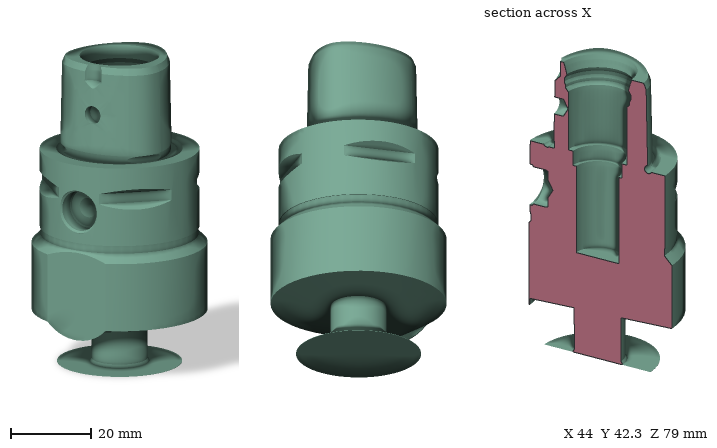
import cadquery as cq
import math

TOTAL_HEIGHT = 79.0
SHANK_CHAMFER_Z = 77.35
SHANK_BASE_Z = 56.6
FLANGE_Z = 55.1
GROOVE_TOP_Z = 35.0
GROOVE_BOTTOM_Z = 33.0
COLLAR_EDGE_Z = 30.9
COLLAR_BOTTOM_Z = 13.5

FLANGE_RADIUS = 40.0 / 2
GROOVE_RADIUS = 39.6 / 2
COLLAR_RADIUS = 44.0 / 2
COLLAR_DEPTH = 42.3
COLLAR_FLAT_Y = COLLAR_RADIUS - COLLAR_DEPTH
LIP_DROP = 3.6
LIP_THICKNESS = 0.3
NOSE_DROP = 1.9
NOSE_RADIUS = 0.4

PIN_RADIUS = 14.0 / 2
PIN_FLARE = 0.5
PIN_FLARE_HEIGHT = 0.9
PLATE_RADIUS = 15.65
PLATE_THICKNESS = 0.1

LOBE_COUNT = 3
POINTS_PER_SIDE = 9
LOBE_HEIGHT = 1.8 / 2
SHANK_BASE_RADIUS = 13.9
SHANK_TOP_RADIUS = 26.9 / 2
SHANK_BEVEL = 0.7
NECK_INSET = 0.2

RECESS_FLOOR_RADIUS = 14.3
GROOVE_RING_RADIUS = 14.9
GROOVE_RING_Z = 55.5
GROOVE_RING_SECTION = 1.0
RECESS_FLOOR_Z = GROOVE_RING_Z - math.sqrt(
    GROOVE_RING_SECTION**2 - (GROOVE_RING_RADIUS - RECESS_FLOOR_RADIUS) ** 2
)

BORE_STEPS = [
    (20.0 / 2, 0.0),
    (9.55, 1.2),
    (18.0 / 2, 3.15),
    (9.8, 4.4),
    (9.8, 5.4),
    (9.4, 6.2),
    (9.4, 6.95),
    (8.6, 7.8),
    (8.6, 23.7),
    (14.3 / 2, 23.7),
    (14.3 / 2, 27.65),
    (12.4 / 2, 27.65),
]
BORE_DEPTH = 51.35

TIP_SLOPE = math.tan(math.radians(31))
NOTCH_RADIUS = 2.8
NOTCH_Y = -13.75
NOTCH_DEPTH = 4.0
DIMPLE_RADIUS = 4.6 / 2
DIMPLE_Z = 66.4
DIMPLE_DEPTH = 2.85
CROSS_HOLE_Z = 43.0
CROSS_HOLE_RADIUS = 10.1 / 2
CROSS_HOLE_BEVEL = 0.5
CROSS_HOLE_DEPTH = 4.75
CROSS_STEP_RADIUS = 4.8
CROSS_STEP_DEPTH = 0.5
CROSS_TIP_RADIUS = 5.0 / 2

SLOT_COUNT = 4
FIRST_SLOT_ANGLE = 45
SLOT_FLAT_DISTANCE = 17.7
SLOT_BOTTOM_Z = 45.7
SLOT_TOP_Z = 48.3
SLOT_SLOPE = math.tan(math.radians(30))


def lobed_wire(radius, z):
    """Closed three-lobed outline of constant width, one lobe pointing along +Y."""
    span = math.pi / LOBE_COUNT

    def point(angle):
        turn = LOBE_COUNT * (angle - math.pi / 2)
        support = radius + LOBE_HEIGHT * math.cos(turn)
        slope = -LOBE_COUNT * LOBE_HEIGHT * math.sin(turn)
        x = support * math.cos(angle) - slope * math.sin(angle)
        y = support * math.sin(angle) + slope * math.cos(angle)
        return cq.Vector(x, y, z)

    edges = []
    for side in range(2 * LOBE_COUNT):
        angles = [span * (side + i / (POINTS_PER_SIDE - 1)) for i in range(POINTS_PER_SIDE)]
        edges.append(cq.Edge.makeSpline([point(angle) for angle in angles]))
    return cq.Wire.assembleEdges(edges)


def lobed_solid(radius_low, z_low, radius_high, z_high):
    wires = [lobed_wire(radius_low, z_low), lobed_wire(radius_high, z_high)]
    return cq.Workplane(cq.Solid.makeLoft(wires, True))


def turned(points):
    """Solid of revolution about Z from an outline of (radius, z) points."""
    return cq.Workplane("XZ").polyline(points).close().revolve(360, (0, 0), (0, 1))


def front_drilling(z, profile):
    """Cutter along Y at height z, from (radius, y) points that start and end on its axis."""
    cutter = cq.Workplane("XY").polyline(profile).close().revolve(360, (0, 0), (0, 1))
    return cutter.translate((0, 0, z))


def make_body():
    body = turned([
        (0, COLLAR_BOTTOM_Z),
        (COLLAR_RADIUS, COLLAR_BOTTOM_Z),
        (COLLAR_RADIUS, COLLAR_EDGE_Z),
        (GROOVE_RADIUS, GROOVE_BOTTOM_Z),
        (GROOVE_RADIUS, GROOVE_TOP_Z),
        (FLANGE_RADIUS, GROOVE_TOP_Z),
        (FLANGE_RADIUS, FLANGE_Z),
        (0, FLANGE_Z),
    ])
    rim = cq.Wire.makeCircle(COLLAR_RADIUS, cq.Vector(0, 0, COLLAR_BOTTOM_Z), cq.Vector(0, 0, 1))
    nose_centre = cq.Vector(0, COLLAR_FLAT_Y, COLLAR_BOTTOM_Z - NOSE_DROP)
    nose = cq.Wire.makeCircle(NOSE_RADIUS, nose_centre, cq.Vector(0, 0, 1))
    body = body.union(cq.Workplane(cq.Solid.makeLoft([nose, rim], True)))

    flat_half_width = math.sqrt(COLLAR_RADIUS**2 - COLLAR_FLAT_Y**2)
    lip = (
        cq.Workplane("XZ", origin=(0, COLLAR_FLAT_Y, 0))
        .moveTo(-flat_half_width, COLLAR_BOTTOM_Z)
        .threePointArc((0, COLLAR_BOTTOM_Z - LIP_DROP), (flat_half_width, COLLAR_BOTTOM_Z))
        .close()
        .extrude(LIP_THICKNESS, both=True)
    )
    flat_cutter = cq.Workplane("XY").box(
        2 * COLLAR_RADIUS, COLLAR_RADIUS, TOTAL_HEIGHT, centered=(True, False, False)
    )
    return body.union(lip).cut(flat_cutter.translate((0, COLLAR_FLAT_Y - COLLAR_RADIUS, 0)))


def make_pin():
    return turned([
        (0, 0),
        (PLATE_RADIUS, 0),
        (PLATE_RADIUS, PLATE_THICKNESS),
        (PIN_RADIUS + PIN_FLARE, PLATE_THICKNESS),
        (PIN_RADIUS, PIN_FLARE_HEIGHT),
        (PIN_RADIUS, COLLAR_BOTTOM_Z),
        (0, COLLAR_BOTTOM_Z),
    ])


def make_recess():
    floor = cq.Workplane("XY").workplane(offset=RECESS_FLOOR_Z)
    return floor.circle(RECESS_FLOOR_RADIUS).extrude(FLANGE_Z - RECESS_FLOOR_Z)


def make_groove_ring():
    return cq.Workplane(
        cq.Solid.makeTorus(GROOVE_RING_RADIUS, GROOVE_RING_SECTION, cq.Vector(0, 0, GROOVE_RING_Z))
    )


def make_shank():
    neck_radius = SHANK_BASE_RADIUS - NECK_INSET
    neck = lobed_solid(neck_radius, RECESS_FLOOR_Z, neck_radius, SHANK_BASE_Z)
    taper = lobed_solid(SHANK_BASE_RADIUS, SHANK_BASE_Z, SHANK_TOP_RADIUS, SHANK_CHAMFER_Z)
    bevel_radius = SHANK_TOP_RADIUS - SHANK_BEVEL
    bevel = lobed_solid(SHANK_TOP_RADIUS, SHANK_CHAMFER_Z, bevel_radius, TOTAL_HEIGHT)
    return neck.union(taper).union(bevel)


def make_bore():
    steps = [(radius, TOTAL_HEIGHT - depth) for radius, depth in BORE_STEPS]
    floor_z = TOTAL_HEIGHT - BORE_DEPTH
    return turned([(0, TOTAL_HEIGHT)] + steps + [(steps[-1][0], floor_z), (0, floor_z)])


def make_notch():
    floor_z = TOTAL_HEIGHT - NOTCH_DEPTH
    cutter = turned([
        (0, TOTAL_HEIGHT),
        (NOTCH_RADIUS, TOTAL_HEIGHT),
        (NOTCH_RADIUS, floor_z),
        (0, floor_z - NOTCH_RADIUS),
    ])
    return cutter.translate((0, NOTCH_Y, 0))


def make_dimple():
    mouth_y = -(SHANK_BASE_RADIUS + LOBE_HEIGHT)
    floor_y = LOBE_HEIGHT - SHANK_BASE_RADIUS + DIMPLE_DEPTH
    return front_drilling(DIMPLE_Z, [
        (0, mouth_y),
        (DIMPLE_RADIUS, mouth_y),
        (DIMPLE_RADIUS, floor_y),
        (0, floor_y + DIMPLE_RADIUS * TIP_SLOPE),
    ])


def make_cross_hole():
    mouth_y = -FLANGE_RADIUS
    floor_y = mouth_y + CROSS_HOLE_DEPTH
    step_y = floor_y + CROSS_STEP_DEPTH
    bevel_y = -math.sqrt(FLANGE_RADIUS**2 - CROSS_HOLE_RADIUS**2) + CROSS_HOLE_BEVEL
    mouth_radius = CROSS_HOLE_RADIUS + CROSS_HOLE_BEVEL
    return front_drilling(CROSS_HOLE_Z, [
        (0, mouth_y),
        (mouth_radius, mouth_y),
        (mouth_radius, bevel_y - CROSS_HOLE_BEVEL),
        (CROSS_HOLE_RADIUS, bevel_y),
        (CROSS_HOLE_RADIUS, floor_y),
        (CROSS_STEP_RADIUS, step_y),
        (CROSS_TIP_RADIUS, step_y),
        (0, step_y + CROSS_TIP_RADIUS * TIP_SLOPE),
    ])


def make_slot(angle):
    """Straight slot with a flat floor and sides that open outwards."""
    outer = COLLAR_RADIUS
    widening = (outer - SLOT_FLAT_DISTANCE) * SLOT_SLOPE
    slot = (
        cq.Workplane("XZ")
        .polyline([
            (SLOT_FLAT_DISTANCE, SLOT_BOTTOM_Z),
            (outer, SLOT_BOTTOM_Z - widening),
            (outer, SLOT_TOP_Z + widening),
            (SLOT_FLAT_DISTANCE, SLOT_TOP_Z),
        ])
        .close()
        .extrude(FLANGE_RADIUS, both=True)
    )
    return slot.rotate((0, 0, 0), (0, 0, 1), angle)


result = make_body().union(make_pin()).cut(make_recess()).union(make_shank())
for cutter in (make_groove_ring(), make_bore(), make_notch(), make_dimple(), make_cross_hole()):
    result = result.cut(cutter)
for index in range(SLOT_COUNT):
    result = result.cut(make_slot(FIRST_SLOT_ANGLE + index * 360 / SLOT_COUNT))